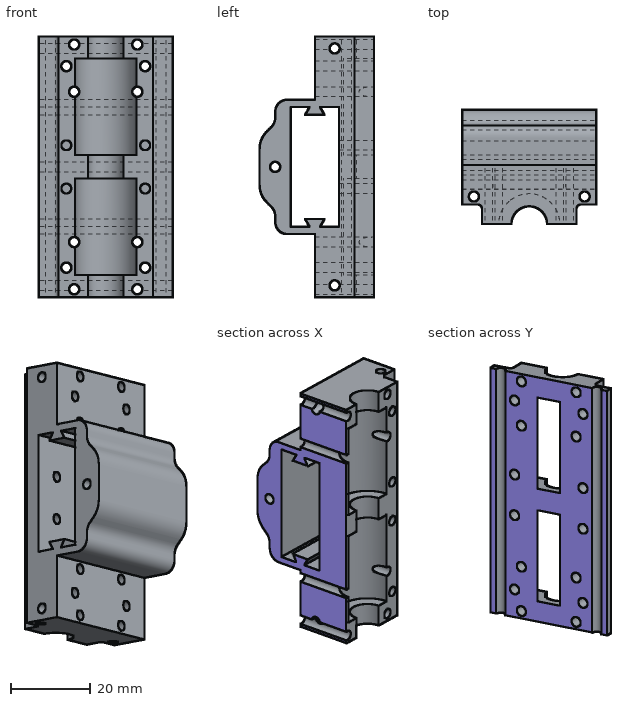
import cadquery as cq
import math

WIDTH = 34.0
HEIGHT = 66.0
BLOCK_DEPTH = 15.0
STEM_WIDTH = 23.95
LEDGE_Y = 4.95
LEDGE_FILLET = 1.05

SHAFT_DIAMETER = 9.0
SEAT_DIAMETER = 15.45
SEAT_LENGTH = 24.4
SEAT_CENTER_Z = 15.2

LOOP_HALF_HEIGHT = 17.0
LOOP_BACK_Y = 25.0
LOOP_CORNER_RADIUS = 3.1
HUMP_BACK_Y = 29.0
HUMP_FLAT_HALF = 4.6
HUMP_CREST_RADIUS = 6.0
HUMP_ROOT_RADIUS = 3.5
HUMP_SLOPE = math.radians(45)

WINDOW_FRONT_Y = 8.9
WINDOW_BACK_Y = 21.05
WINDOW_HALF_HEIGHT = 15.1
RAIL_TIP_WIDTH = 5.0
RAIL_HEIGHT = 2.0
RAIL_ANGLE = math.radians(60)

HOLE_DIAMETER = 2.5
INNER_HOLE_X = 8.0
INNER_HOLE_Z = (19.0, 30.95)
OUTER_HOLE_X = 9.95
OUTER_HOLE_Z = (5.5, 25.5)
END_HOLE_X = 14.0
END_HOLE_Y = 7.0
SIDE_HOLE_Y = 9.95
SIDE_HOLE_Z = 29.95


def make_block():
    """Full-height block with a narrower stem at the bearing face."""
    half_width = WIDTH / 2
    half_stem = STEM_WIDTH / 2
    block = (
        cq.Workplane("XY")
        .workplane(offset=-HEIGHT / 2)
        .moveTo(-half_stem, 0)
        .lineTo(half_stem, 0)
        .lineTo(half_stem, LEDGE_Y)
        .lineTo(half_width, LEDGE_Y)
        .lineTo(half_width, BLOCK_DEPTH)
        .lineTo(-half_width, BLOCK_DEPTH)
        .lineTo(-half_width, LEDGE_Y)
        .lineTo(-half_stem, LEDGE_Y)
        .close()
        .extrude(HEIGHT)
    )
    margin = LEDGE_FILLET / 2
    inner_corners = cq.selectors.BoxSelector(
        (-half_stem - margin, LEDGE_Y - margin, -margin),
        (half_stem + margin, LEDGE_Y + margin, margin),
    )
    return block.edges("|Z").edges(inner_corners).fillet(LEDGE_FILLET)


def arc_point(center, radius, angle):
    """Point on a circle in the YZ plane, with the angle measured from +Y."""
    return center[0] + radius * math.cos(angle), center[1] + radius * math.sin(angle)


def make_loop():
    """Rear loop with rounded corners and a smoothly blended hump."""
    crest_center = (HUMP_BACK_Y - HUMP_CREST_RADIUS, HUMP_FLAT_HALF)
    crest_end = arc_point(crest_center, HUMP_CREST_RADIUS, HUMP_SLOPE)

    root_start_y = LOOP_BACK_Y + HUMP_ROOT_RADIUS * (1 - math.cos(HUMP_SLOPE))
    root_start_z = crest_end[1] + (crest_end[0] - root_start_y) / math.tan(HUMP_SLOPE)
    root_center = (
        LOOP_BACK_Y + HUMP_ROOT_RADIUS,
        root_start_z + HUMP_ROOT_RADIUS * math.sin(HUMP_SLOPE),
    )
    corner_center = (LOOP_BACK_Y - LOOP_CORNER_RADIUS, LOOP_HALF_HEIGHT - LOOP_CORNER_RADIUS)

    upper_half = (
        cq.Workplane("YZ")
        .workplane(offset=-WIDTH / 2)
        .moveTo(WINDOW_FRONT_Y, 0)
        .lineTo(HUMP_BACK_Y, 0)
        .lineTo(HUMP_BACK_Y, HUMP_FLAT_HALF)
        .threePointArc(arc_point(crest_center, HUMP_CREST_RADIUS, HUMP_SLOPE / 2), crest_end)
        .lineTo(root_start_y, root_start_z)
        .threePointArc(
            arc_point(root_center, HUMP_ROOT_RADIUS, math.pi + HUMP_SLOPE / 2),
            (LOOP_BACK_Y, root_center[1]),
        )
        .lineTo(LOOP_BACK_Y, corner_center[1])
        .threePointArc(
            arc_point(corner_center, LOOP_CORNER_RADIUS, math.pi / 4),
            (corner_center[0], LOOP_HALF_HEIGHT),
        )
        .lineTo(WINDOW_FRONT_Y, LOOP_HALF_HEIGHT)
        .close()
        .extrude(WIDTH)
    )
    return upper_half.union(upper_half.mirror("XY"))


def make_window():
    return cq.Workplane("XY").box(
        WIDTH,
        WINDOW_BACK_Y - WINDOW_FRONT_Y,
        2 * WINDOW_HALF_HEIGHT,
    ).translate((0, (WINDOW_FRONT_Y + WINDOW_BACK_Y) / 2, 0))


def make_rails():
    """Pair of dovetail rails centred in line with the back of the block."""
    half_tip = RAIL_TIP_WIDTH / 2
    half_root = half_tip - RAIL_HEIGHT / math.tan(RAIL_ANGLE)
    tip_z = WINDOW_HALF_HEIGHT - RAIL_HEIGHT
    upper = (
        cq.Workplane("YZ")
        .workplane(offset=-WIDTH / 2)
        .polyline([
            (BLOCK_DEPTH - half_root, WINDOW_HALF_HEIGHT),
            (BLOCK_DEPTH - half_tip, tip_z),
            (BLOCK_DEPTH + half_tip, tip_z),
            (BLOCK_DEPTH + half_root, WINDOW_HALF_HEIGHT),
        ])
        .close()
        .extrude(WIDTH)
    )
    return upper.union(upper.mirror("XY"))


def make_bearing_seats():
    """Full-length shaft groove with two wider bearing seats."""
    groove = cq.Workplane("XY").circle(SHAFT_DIAMETER / 2).extrude(HEIGHT / 2, both=True)
    seat = cq.Workplane("XY").circle(SEAT_DIAMETER / 2).extrude(SEAT_LENGTH)
    for side in (-1, 1):
        groove = groove.union(seat.translate((0, 0, side * SEAT_CENTER_Z - SEAT_LENGTH / 2)))
    return groove


def make_face_holes():
    """Holes through the block from the bearing face; those near mid-height open into the window."""
    positions = []
    for x, heights in ((INNER_HOLE_X, INNER_HOLE_Z), (OUTER_HOLE_X, OUTER_HOLE_Z)):
        positions += [
            (side * x, end * z)
            for z in heights
            for side in (-1, 1)
            for end in (-1, 1)
        ]
    return cq.Workplane("XZ").pushPoints(positions).circle(HOLE_DIAMETER / 2).extrude(-BLOCK_DEPTH)


def make_end_holes():
    """Full-height holes along Z, one near each side."""
    return (
        cq.Workplane("XY")
        .pushPoints([(-END_HOLE_X, END_HOLE_Y), (END_HOLE_X, END_HOLE_Y)])
        .circle(HOLE_DIAMETER / 2)
        .extrude(HEIGHT / 2, both=True)
    )


def make_cross_holes():
    """Full-width holes along X: two in the block and one in the hump."""
    return (
        cq.Workplane("YZ")
        .pushPoints([(SIDE_HOLE_Y, -SIDE_HOLE_Z), (SIDE_HOLE_Y, SIDE_HOLE_Z), (LOOP_BACK_Y, 0)])
        .circle(HOLE_DIAMETER / 2)
        .extrude(WIDTH / 2, both=True)
    )


result = (
    make_block()
    .union(make_loop())
    .cut(make_window())
    .union(make_rails())
    .cut(make_bearing_seats())
    .cut(make_face_holes())
    .cut(make_end_holes())
    .cut(make_cross_holes())
)